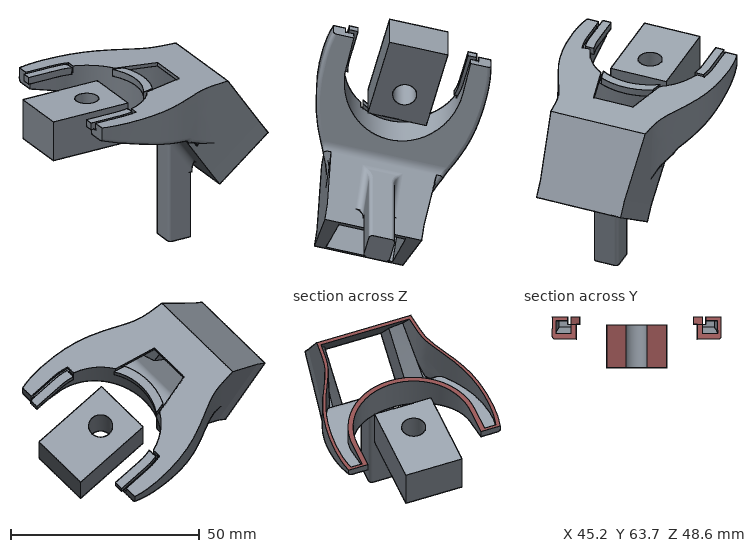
import cadquery as cq
import math

bore_r = 16.0
tip_y = -8.05
tip_height = 4.0
arm_tilt = 17.0
neck_tilt = 55.0
back_y = 35.45
neck_thick = 19.1
neck_length = 23.15
collar_length = 4.6
collar_back_half = 12.1
collar_front_half = 13.3
taper = 0.08
loft_depth = 19.15
far_y = 47.85
join_y = 31.2
heel_y = 32.5
heel_z = -18.95
edge_r = 1.0
bend_r = 3.65
through = 38.3

shoulder = (17.5, 21.2)
upper_arm = (21.05, 11.9)
widest = (22.45, 1.3)
tip_half = 21.55
arm_spread = 0.4

wall = 1.0
floor_wall = 1.5
rim_wall = 1.45
tip_wall = 0.95
funnel_start = 8.05
funnel_end = 12.75
socket_half = 9.1

pad_height = 2.0
pad_inner_r = 15.05
pad_end_y = -9.0
pad_back_y = 3.95
seat_gap = 0.75
window_back_y = 25.15
window_back_half = 5.7
window_flare = 0.24
window_gap = 0.5

post_front_y = 23.35
post_side = 7.0
post_bottom = -48.6
post_corner_r = 0.95
post_round_top = -29.65
post_root_r = 2.0

block_width = 16.0
block_front_y = -15.0
block_back_y = 8.0
block_top = -2.1
block_bottom = -13.5
block_hole_r = 3.2

slope = math.tan(math.radians(arm_tilt))
sin_n = math.sin(math.radians(neck_tilt))
cos_n = math.cos(math.radians(neck_tilt))
pad_outer_r = bore_r + rim_wall


def on_neck(along, inward):
    """(Y, Z) of a point measured down the back of the neck and into its thickness."""
    y = back_y + along * cos_n - inward * sin_n
    z = -along * sin_n - inward * cos_n
    return y, z


def underside_z(y, lift=0):
    """Height of the sloping underside of the arms, or of a plane lifted off it."""
    return -tip_height - (y - tip_y) * slope + lift / math.cos(math.radians(arm_tilt))


def bend_point(front_wall):
    """(Y, Z) where the underside meets the neck front, both moved inwards by front_wall."""
    y0, z0 = on_neck(0, neck_thick - front_wall)
    steep = sin_n / cos_n
    y = (z0 + steep * y0 - underside_z(0, front_wall)) / (steep - slope)
    return y, underside_z(y, front_wall)


def side_half(y, z):
    """Half-width of the neck at a point of its flat tapered sides."""
    along = (y - back_y) * cos_n - z * sin_n
    inward = -(y - back_y) * sin_n - z * cos_n
    across = (collar_front_half - collar_back_half) / neck_thick
    return collar_back_half + across * inward + taper * (neck_length - collar_length - along)


def side_profile(points):
    """Prism across the whole width from (Y, Z) points."""
    return cq.Workplane("YZ").polyline(points).close().extrude(through, both=True)


def plan_wire(z, inset, end_y, spread):
    """Plan outline of the head at one height; spread widens the arms."""
    far = cq.Vector(side_half(far_y, z) - inset, far_y, z)
    join = cq.Vector(side_half(join_y, z) - inset, join_y, z)
    arm = [
        cq.Vector(shoulder[0] - inset, shoulder[1], z),
        cq.Vector(upper_arm[0] + spread - inset, upper_arm[1], z),
        cq.Vector(widest[0] + spread - inset, widest[1], z),
        cq.Vector(tip_half + spread - inset, end_y, z),
    ]
    tip_direction = cq.Vector(-0.25, -1, 0)
    side = [
        cq.Edge.makeLine(far, join),
        cq.Edge.makeSpline([join, *arm], tangents=[join - far, tip_direction]),
    ]
    other_side = [edge.mirror("YZ") for edge in side]
    tip = cq.Edge.makeLine(arm[-1], cq.Vector(-arm[-1].x, end_y, z))
    back = cq.Edge.makeLine(cq.Vector(-far.x, far_y, z), far)
    return cq.Wire.assembleEdges([*side, tip, *other_side[::-1], back])


def head_block(inset, end_y):
    """Full-depth block with the plan outline of the head, moved in by inset."""
    top = plan_wire(0, inset, end_y, 0)
    bottom = plan_wire(-loft_depth, inset, end_y, arm_spread)
    return cq.Workplane(cq.Solid.makeLoft([top, bottom], True))


def neck_section(along, inner, outer, inner_half, outer_half):
    """Trapezoid across the neck at one distance down it."""
    corners = [(inner_half, inner), (outer_half, outer), (-outer_half, outer), (-inner_half, inner)]
    points = [cq.Vector(x, *on_neck(along, inward)) for x, inward in corners]
    return cq.Wire.makePolygon(points, close=True)


def neck():
    """Sloping plate with tapered sides above a straight collar."""
    margin = 1.3
    across = (collar_front_half - collar_back_half) / neck_thick * margin
    sides = [collar_back_half - across, collar_front_half + across]
    root_sides = [half + taper * (neck_length - collar_length) for half in sides]
    depth = (-margin, neck_thick + margin)
    root = neck_section(0, *depth, *root_sides)
    collar = neck_section(neck_length - collar_length, *depth, *sides)
    end = neck_section(neck_length, *depth, *sides)
    tapered = cq.Workplane(cq.Solid.makeLoft([root, collar], True))
    straight = cq.Workplane(cq.Solid.makeLoft([collar, end], True))
    plate = [
        on_neck(0, 0),
        on_neck(neck_length, 0),
        on_neck(neck_length, neck_thick),
        on_neck(0, neck_thick),
    ]
    return tapered.union(straight).intersect(side_profile(plate))


def head():
    """Arms and bridge, rounded along the lower outer edges."""
    corner_y, corner_z = bend_point(0)
    half_turn = math.radians(neck_tilt - arm_tilt) / 2
    reach = bend_r * math.tan(half_turn)
    middle = math.radians((neck_tilt + arm_tilt) / 2)
    sagitta = bend_r / math.cos(half_turn) - bend_r
    tilt = math.radians(arm_tilt)
    bend_start = (corner_y - reach * math.cos(tilt), corner_z + reach * math.sin(tilt))
    bend_end = (corner_y + reach * cos_n, corner_z - reach * sin_n)
    bend_middle = (corner_y - sagitta * math.sin(middle), corner_z - sagitta * math.cos(middle))
    profile = (
        cq.Workplane("YZ")
        .moveTo(tip_y - 0.65, 0)
        .lineTo(tip_y - 0.65, underside_z(tip_y - 0.65))
        .lineTo(*bend_start)
        .threePointArc(bend_middle, bend_end)
        .lineTo(heel_y, heel_z)
        .lineTo(back_y, 0)
        .close()
        .extrude(through, both=True)
    )
    body = head_block(0, tip_y).intersect(profile)
    lower_edges = [
        edge
        for edge in body.edges("not #Y").vals()
        if edge.Center().z < -tip_height and abs(edge.Center().x) > 12.75 and edge.Center().y < join_y
    ]
    return body.newObject(lower_edges).fillet(edge_r)


def post_shaft(top):
    """Square shaft from the foot of the post up to a given height."""
    middle_y = post_front_y + post_side / 2
    return (
        cq.Workplane("XY", origin=(0, middle_y, post_bottom))
        .rect(post_side, post_side)
        .extrude(top - post_bottom)
    )


def post():
    """Square post reaching up into the sloping front wall of the neck."""
    front = neck_thick - floor_wall
    limit = [
        on_neck(0, front),
        on_neck(neck_length + 6.4, front),
        (post_front_y + 2 * post_side, post_bottom),
        (0, post_bottom),
    ]
    lower = post_shaft(post_round_top).edges("|Z and >Y").fillet(post_corner_r)
    upper = post_shaft(0).intersect(side_profile(limit)).cut(post_shaft(post_round_top))
    return lower.union(upper)


def outer_body():
    """Head, neck and post as one piece, blended where they meet."""
    body = head().union(neck()).union(post())
    reach = post_side / 2 + 0.05
    front = post_front_y - 0.05
    root_box = cq.selectors.BoxSelector((-reach, front, -25.5), (reach, post_front_y + post_side - 0.65, -15.3))
    body = body.edges(root_box).edges("not |Z").fillet(post_root_r)
    corner_box = cq.selectors.BoxSelector((-reach, front, -47.85), (reach, post_front_y + 0.05, -28.7))
    return body.edges(corner_box).edges("|Z").fillet(post_corner_r)


def mouth(radius, depth):
    """U-shaped prism: a half-round closed end and straight sides running out past the tips."""
    out_y = min(tip_y - 6.4, pad_end_y)
    return (
        cq.Workplane("XY")
        .moveTo(radius, out_y)
        .lineTo(radius, 0)
        .threePointArc((0, radius), (-radius, 0))
        .lineTo(-radius, out_y)
        .close()
        .extrude(depth)
    )


def cavity():
    """Hollow of the arms and neck, narrowing in a funnel to the socket in the neck end."""
    front = neck_thick - floor_wall
    front_y = tip_y + tip_wall
    corner = bend_point(floor_wall)
    profile = side_profile(
        [
            (front_y - 0.65, -wall),
            (front_y - 0.65, underside_z(front_y - 0.65, floor_wall)),
            corner,
            on_neck(funnel_start, front),
            on_neck(funnel_start, wall),
            on_neck(wall * (1 - cos_n) / sin_n, wall),
        ]
    )
    bend_edge = profile.edges(cq.selectors.NearestToPointSelector((0, *corner)))
    profile = bend_edge.fillet(bend_r + floor_wall)
    chamber = head_block(wall, front_y).intersect(profile).cut(mouth(pad_outer_r, -through))

    back_half = side_half(*on_neck(funnel_start, wall)) - wall
    front_half = side_half(*on_neck(funnel_start, front)) - wall
    inlet = neck_section(funnel_start, wall, front, back_half, front_half)
    throat = neck_section(funnel_end, wall, front, socket_half, socket_half)
    end = neck_section(neck_length + 0.65, wall, front, socket_half, socket_half)
    for first, second in [(inlet, throat), (throat, end)]:
        chamber = chamber.union(cq.Workplane(cq.Solid.makeLoft([first, second], True)))
    return chamber


def window(gap):
    """Flared opening behind the middle pad, with its sides moved in by gap."""
    back_half = window_back_half - gap * math.hypot(1, window_flare)
    mouth_half = back_half + window_flare * window_back_y
    corners = [
        (-back_half, window_back_y),
        (back_half, window_back_y),
        (mouth_half, 0),
        (-mouth_half, 0),
    ]
    return cq.Workplane("XY").polyline(corners).close().extrude(-pad_height)


def seats():
    """Slots beside the side pads, down to the rim they stand on."""
    size = 127.6
    seat_back_y = pad_back_y + seat_gap
    trim = cq.Workplane("XY", origin=(0, seat_back_y - size / 2, 0)).rect(size, size).extrude(-pad_height)
    return mouth(pad_outer_r + seat_gap, -pad_height).intersect(trim)


def fork():
    """Hollow fork with its neck and post."""
    body = outer_body()
    for tool in [cavity(), mouth(bore_r, -through), window(0), seats()]:
        body = body.cut(tool, clean=False)
    return body


def pad_ring():
    """U-shaped strip from which the three pads are taken."""
    return mouth(pad_outer_r, -pad_height).cut(mouth(pad_inner_r, -pad_height))


def middle_pad():
    return pad_ring().intersect(window(window_gap))


def side_pad(side):
    """Pad on one arm; side is -1 or 1."""
    length = pad_back_y - pad_end_y
    box = (
        cq.Workplane("XY", origin=(side * pad_outer_r, pad_end_y, -pad_height))
        .box(pad_outer_r, length, pad_height, centered=(True, False, False))
    )
    return pad_ring().intersect(box)


def block():
    """Rectangular block with a hole straight through it."""
    height = block_top - block_bottom
    length = block_back_y - block_front_y
    body = (
        cq.Workplane("XY", origin=(0, block_front_y, block_bottom))
        .box(block_width, length, height, centered=(True, False, False))
    )
    hole = cq.Workplane("XY", origin=(0, 0, block_bottom)).circle(block_hole_r).extrude(height)
    return body.cut(hole)


side_pads = [side_pad(side) for side in (-1, 1)]

result = cq.Compound.makeCompound(
    [fork().val(), block().val(), middle_pad().val(), *[pad.val() for pad in side_pads]]
)